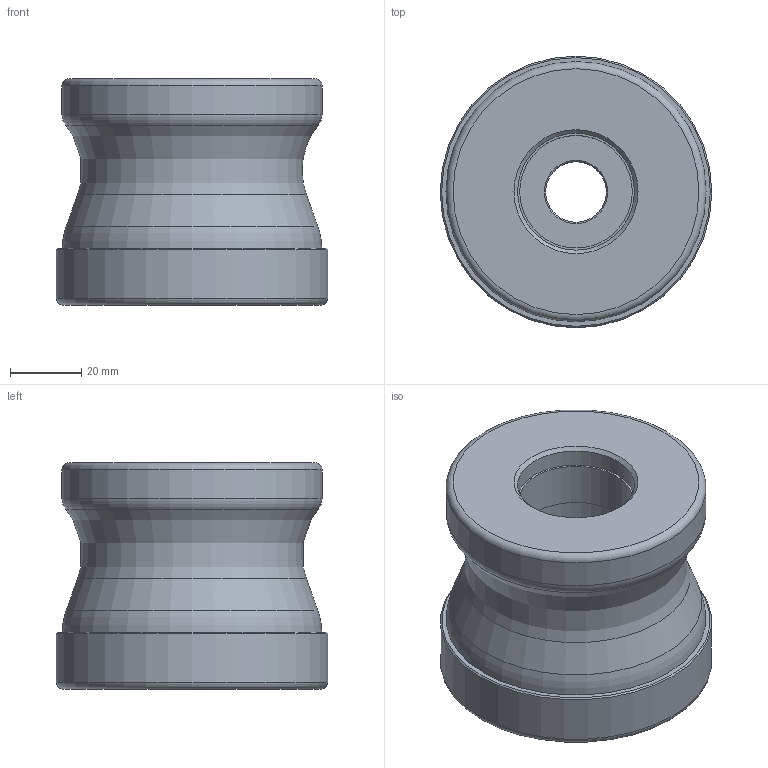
import cadquery as cq
import math

overall_height = 63.5

base_radius = 38.1
base_height = 16.0
base_bottom_fillet = 2.0
base_top_chamfer = 0.4
bolt_hole_radius = 8.5

lip_radius = 36.5
foot_radius = 36.4
lip_top_fillet = 2.0
lip_underside_radius = 5.0
neck_radius = 30.9
neck_arc_radius = 20.0
foot_arc_radius = 18.0
flank_angle = math.radians(20.0)

bore_radius = 16.4
bore_mouth_chamfer = 1.0
land_radius = 15.8
land_top_depth = 5.8
land_bottom_depth = 18.2


def arc_point(center, radius, angle):
    """Point on a circle in the (radius, height) plane, angle from the outward direction."""
    return (center[0] + radius * math.cos(angle), center[1] + radius * math.sin(angle))


def make_base():
    """Flat disc with a rounded bottom rim, chamfered top edges and a bolt hole."""
    disc = cq.Workplane("XY").circle(base_radius).extrude(base_height)
    disc = disc.faces("<Z").edges().fillet(base_bottom_fillet)
    disc = disc.cut(cq.Workplane("XY").circle(bolt_hole_radius).extrude(base_height))
    return disc.faces(">Z").edges().chamfer(base_top_chamfer)


def make_knob_blank():
    """Solid of revolution with the grooved outside of the knob."""
    foot_center = (foot_radius - foot_arc_radius, base_height)
    foot_start = (foot_radius, base_height)
    foot_middle = arc_point(foot_center, foot_arc_radius, flank_angle / 2)
    flank_bottom = arc_point(foot_center, foot_arc_radius, flank_angle)

    neck_center_radius = neck_radius + neck_arc_radius
    flank_top_radius = neck_center_radius - neck_arc_radius * math.cos(flank_angle)
    flank_rise = (flank_bottom[0] - flank_top_radius) / math.tan(flank_angle)
    flank_top = (flank_top_radius, flank_bottom[1] + flank_rise)
    neck_center = (neck_center_radius, flank_top[1] + neck_arc_radius * math.sin(flank_angle))
    neck_middle = (neck_radius, neck_center[1])

    underside_center_radius = lip_radius - lip_underside_radius
    lean = math.acos(
        (neck_center_radius - underside_center_radius) / (neck_arc_radius + lip_underside_radius)
    )
    underside_center = (
        underside_center_radius,
        neck_center[1] + (neck_arc_radius + lip_underside_radius) * math.sin(lean),
    )
    underside_start = arc_point(underside_center, lip_underside_radius, -lean)
    underside_middle = arc_point(underside_center, lip_underside_radius, -lean / 2)
    lip_bottom = (lip_radius, underside_center[1])

    profile = (
        cq.Workplane("XZ")
        .moveTo(0, base_height)
        .lineTo(*foot_start)
        .threePointArc(foot_middle, flank_bottom)
        .lineTo(*flank_top)
        .threePointArc(neck_middle, underside_start)
        .threePointArc(underside_middle, lip_bottom)
        .lineTo(lip_radius, overall_height)
        .lineTo(0, overall_height)
        .close()
    )
    blank = profile.revolve(360, (0, 0, 0), (0, 1, 0))
    return blank.faces(">Z").edges().fillet(lip_top_fillet)


def make_bore():
    """Tool for the knob's through bore, leaving a slightly narrower land inside it."""
    mouth_radius = bore_radius + bore_mouth_chamfer
    land_top = overall_height - land_top_depth
    land_bottom = overall_height - land_bottom_depth
    profile = cq.Workplane("XZ").polyline([
        (0, base_height),
        (bore_radius, base_height),
        (bore_radius, land_bottom),
        (land_radius, land_bottom),
        (land_radius, land_top),
        (bore_radius, land_top),
        (bore_radius, overall_height - bore_mouth_chamfer),
        (mouth_radius, overall_height),
        (0, overall_height),
    ]).close()
    return profile.revolve(360, (0, 0, 0), (0, 1, 0))


base = make_base()
knob = make_knob_blank().cut(make_bore())

result = cq.Compound.makeCompound([base.val(), knob.val()])